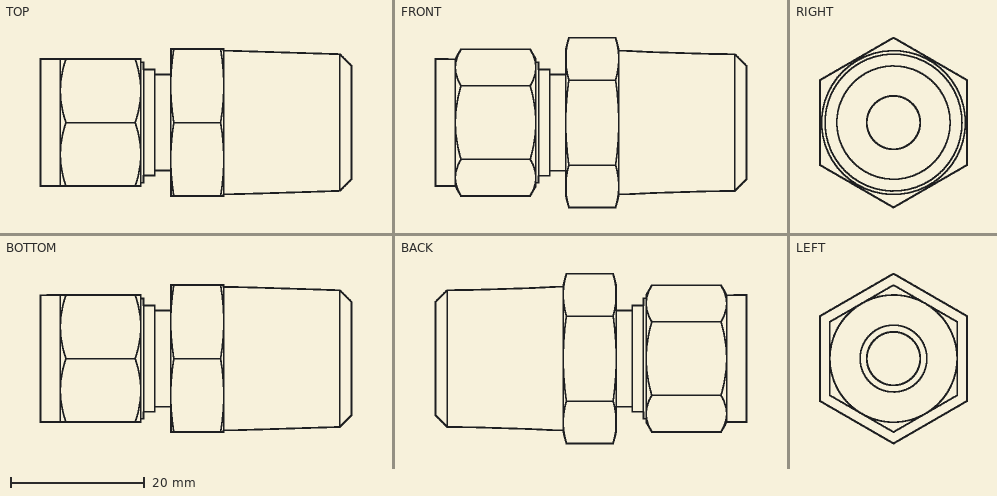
import cadquery as cq
import math


TUBE_END = 0.0
NUT_START = 2.98
NUT_END = 15.0
NUT_WASHER_END = 15.45
COLLAR_END = 17.1
BODY_HEX_START = 19.5
BODY_HEX_END = 27.4
TAPER_START = 28.45
PIPE_END = 46.5

NUT_FLATS = 19.0
NUT_CHAMFER_ANGLE = 30.0
BODY_FLATS = 22.0
BODY_CHAMFER_ANGLE = 15.0

NUT_WASHER_DIAMETER = 18.05
COLLAR_DIAMETER = 15.9
NECK_DIAMETER = 14.4

PIPE_DIAMETER = 21.5
PIPE_TAPER = 1 / 16
PIPE_CHAMFER = 1.75

TUBE_BORE = 10.0
TUBE_BORE_DEPTH = COLLAR_END
THROUGH_BORE = 7.95


def cylinder(start, end, diameter):
    """Solid cylinder on the X axis between two stations."""
    return cq.Workplane("YZ", origin=(start, 0, 0)).circle(diameter / 2).extrude(end - start)


def revolve_about_x(profile):
    """Solid of revolution from a closed list of (x, radius) points."""
    return cq.Workplane("XY").polyline(profile).close().revolve(360, (0, 0, 0), (1, 0, 0))


def chamfered_hex(start, end, flats, angle):
    """Hexagon whose corners are turned down to the flats by a cone at each end."""
    flat_radius = flats / 2
    corner_radius = flat_radius / math.cos(math.radians(30))
    cone_length = (corner_radius - flat_radius) * math.tan(math.radians(angle))
    prism = (
        cq.Workplane("YZ", origin=(start, 0, 0))
        .polygon(6, 2 * corner_radius)
        .extrude(end - start)
        .rotate((0, 0, 0), (1, 0, 0), 90)
    )
    envelope = revolve_about_x([
        (start, 0),
        (start, flat_radius),
        (start + cone_length, corner_radius),
        (end - cone_length, corner_radius),
        (end, flat_radius),
        (end, 0),
    ])
    return prism.intersect(envelope)


def nut():
    """Hexagon nut with a round collar in front and a thin washer face behind."""
    collar = cylinder(TUBE_END, NUT_START, NUT_FLATS)
    hexagon = chamfered_hex(NUT_START, NUT_END, NUT_FLATS, NUT_CHAMFER_ANGLE)
    washer = cylinder(NUT_END, NUT_WASHER_END, NUT_WASHER_DIAMETER)
    return collar.union(hexagon).union(washer)


def body():
    """Collar and neck behind the nut, followed by the body hexagon."""
    collar = cylinder(NUT_WASHER_END, COLLAR_END, COLLAR_DIAMETER)
    neck = cylinder(COLLAR_END, BODY_HEX_START, NECK_DIAMETER)
    hexagon = chamfered_hex(BODY_HEX_START, BODY_HEX_END, BODY_FLATS, BODY_CHAMFER_ANGLE)
    return collar.union(neck).union(hexagon)


def pipe_shank():
    """Short cylinder, tapered pipe section and 45 degree end chamfer."""
    pipe_radius = PIPE_DIAMETER / 2
    taper_end = PIPE_END - PIPE_CHAMFER
    taper_end_radius = pipe_radius - (taper_end - TAPER_START) * PIPE_TAPER / 2
    return revolve_about_x([
        (BODY_HEX_END, 0),
        (BODY_HEX_END, pipe_radius),
        (TAPER_START, pipe_radius),
        (taper_end, taper_end_radius),
        (PIPE_END, taper_end_radius - PIPE_CHAMFER),
        (PIPE_END, 0),
    ])


tube_socket = cylinder(TUBE_END, TUBE_BORE_DEPTH, TUBE_BORE)
through_hole = cylinder(TUBE_END, PIPE_END, THROUGH_BORE)

result = nut().union(body()).union(pipe_shank()).cut(tube_socket).cut(through_hole)